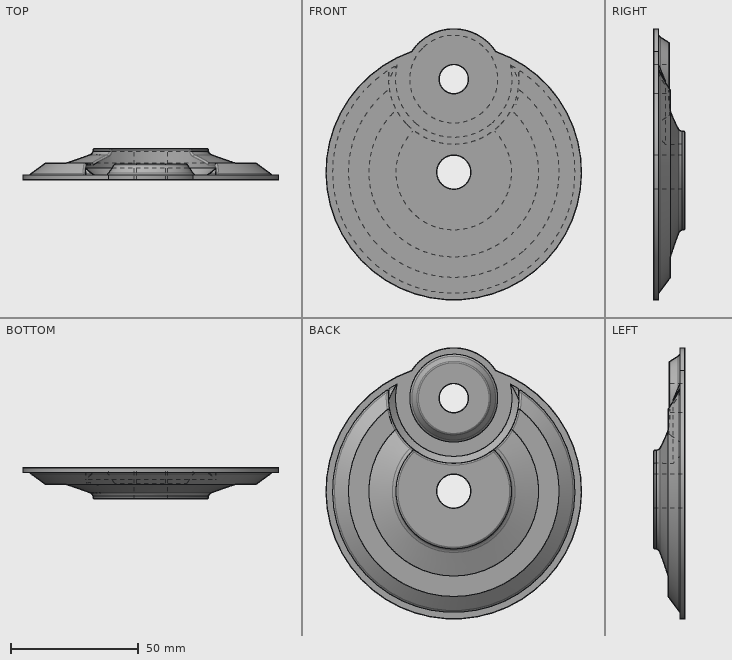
import cadquery as cq

overall_height = 106.1
disc_radius = 50.0
plate_thickness = 2.0
ear_center_z = 36.4
ear_radius = overall_height - disc_radius - ear_center_z

total_thickness = 12.3
dome_foot_radius = 47.4
dome_lip_radius = 46.7
dome_lip_y = 2.6
shoulder_y = 6.6
shoulder_outer_radius = 41.2
shoulder_inner_radius = 33.2
cone_top_radius = 24.0
cone_top_y = 9.8
plateau_radius = 22.6
plateau_wall_y = 11.2

recess_radius = 25.5
recess_skirt = 2.7
rim_round = 0.7

boss_foot_radius = 17.2
boss_lip_radius = 16.4
boss_lip_y = 2.8
boss_top_radius = 14.2
boss_top_y = 6.2
boss_edge_round = 0.7

center_hole_diameter = 13.25
ear_hole_diameter = 11.35

tolerance = 0.01


def disc(radius, thickness, center_z=0.0):
    """Cylinder along +Y standing on the back face (Y = 0)."""
    return cq.Workplane("XZ").center(0, center_z).circle(radius).extrude(-thickness)


def turned(profile, center_z=0.0):
    """Close a (radius, Y) profile and turn it about an axis parallel to Y."""
    return profile.close().revolve(360, (0, 0, 0), (0, 1, 0)).translate((0, 0, center_z))


def make_plate():
    """Disc and ear, both of plate thickness."""
    return disc(disc_radius, plate_thickness).union(disc(ear_radius, plate_thickness, ear_center_z))


def make_dome():
    """Full turned dome: flared foot, flat shoulder, cone, concave neck and plateau."""
    profile = (
        cq.Workplane("XY")
        .lineTo(dome_foot_radius, 0)
        .lineTo(dome_foot_radius, plate_thickness)
        .lineTo(dome_lip_radius, dome_lip_y)
        .lineTo(shoulder_outer_radius, shoulder_y)
        .lineTo(shoulder_inner_radius, shoulder_y)
        .lineTo(cone_top_radius, cone_top_y)
        .tangentArcPoint((plateau_radius, plateau_wall_y), relative=False)
        .lineTo(plateau_radius, total_thickness)
        .lineTo(0, total_thickness)
    )
    return turned(profile)


def is_exposed_rim(edge):
    """True for the plateau outline and for the edges where the recess wall breaks out of the dome."""
    middle = edge.positionAt(0.5)
    distance = (middle.x**2 + (middle.z - ear_center_z) ** 2) ** 0.5
    box = edge.BoundingBox()
    on_plateau = box.ymin > total_thickness - tolerance
    on_recess_wall = abs(distance - recess_radius) < tolerance and box.ymax > plate_thickness + tolerance
    return on_plateau or on_recess_wall


def round_rim(body):
    """Round the plateau outline and the recess rim together."""
    rim_edges = [edge for edge in body.edges().vals() if is_exposed_rim(edge)]
    return body.newObject(rim_edges).fillet(rim_round)


def make_recess_skirt(dome):
    """Sloped ring at the foot of the recess wall, kept only where the dome covers it."""
    profile = (
        cq.Workplane("XY")
        .moveTo(recess_radius - recess_skirt, plate_thickness)
        .lineTo(recess_radius, plate_thickness)
        .lineTo(recess_radius, plate_thickness + recess_skirt)
    )
    return turned(profile, ear_center_z).intersect(dome)


def make_boss():
    """Tapered boss with a flared foot and a rounded top edge."""
    profile = (
        cq.Workplane("XY")
        .lineTo(boss_foot_radius, 0)
        .lineTo(boss_foot_radius, plate_thickness)
        .lineTo(boss_lip_radius, boss_lip_y)
        .lineTo(boss_top_radius, boss_top_y)
        .lineTo(0, boss_top_y)
    )
    return turned(profile, ear_center_z).faces(">Y").edges().fillet(boss_edge_round)


dome = make_dome()
recess = disc(recess_radius, total_thickness, ear_center_z).translate((0, plate_thickness, 0))
body = round_rim(make_plate().union(dome).cut(recess))
body = body.union(make_recess_skirt(dome)).union(make_boss())
body = body.cut(disc(center_hole_diameter / 2, total_thickness))
result = body.cut(disc(ear_hole_diameter / 2, total_thickness, ear_center_z))